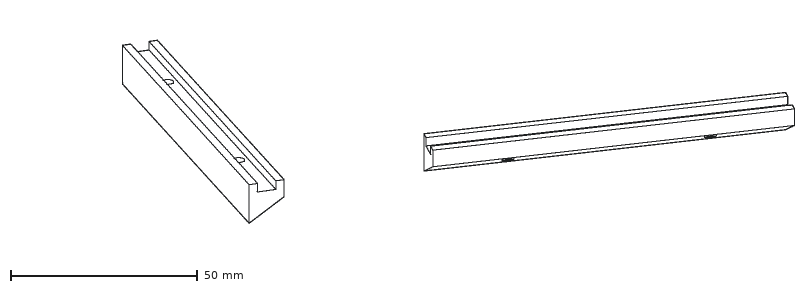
import cadquery as cq

length = 100.0
width = 10.0
front_height = 11.3
back_height = 5.0

groove_width = 5.2
groove_depth = 2.5

hole_diameter = 3.2
hole_spacing = 56.0


def make_bar():
    """Extrude the tapered profile along X, with the top face at Z = 0."""
    half_width = width / 2
    profile = [
        (-half_width, 0),
        (-half_width, -front_height),
        (half_width, -back_height),
        (half_width, 0),
    ]
    return cq.Workplane("YZ").polyline(profile).close().extrude(length / 2, both=True)


def make_groove():
    """Rectangular groove running the full length of the top face."""
    return cq.Workplane("XY").rect(length, groove_width).extrude(-groove_depth)


def make_holes():
    """Two holes, placed evenly about the middle of the bar."""
    centres = [(-hole_spacing / 2, 0), (hole_spacing / 2, 0)]
    return cq.Workplane("XY").pushPoints(centres).circle(hole_diameter / 2).extrude(-front_height)


result = make_bar().cut(make_groove()).cut(make_holes())